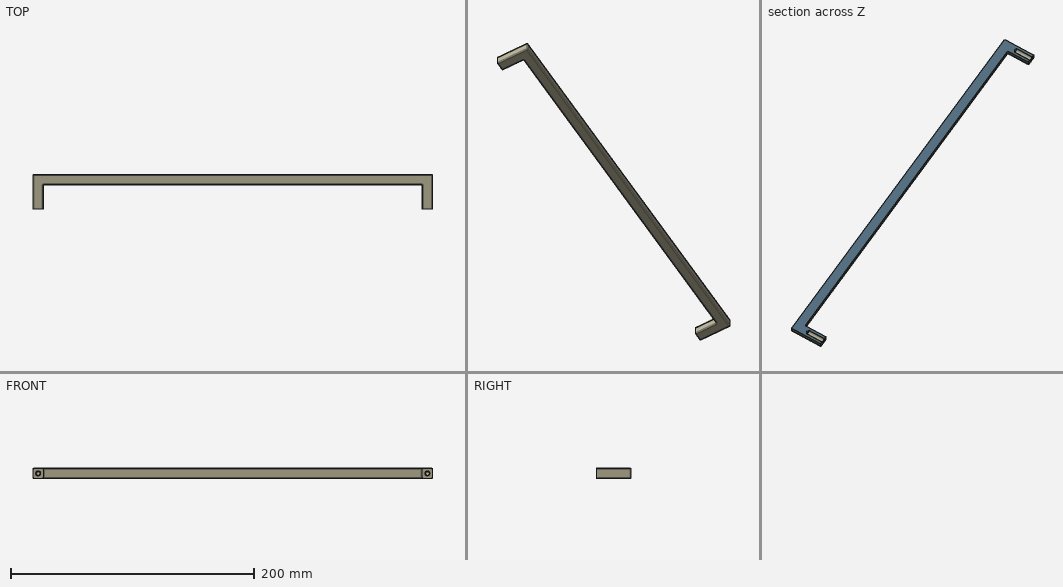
import math

import cadquery as cq

bar_width = 8.5
hole_spacing = 320.0
projection = 28.5
rounding = 1.0
hole_diameter = 3.3
mouth_diameter = 4.0
hole_depth = 15.0
drill_point_angle = 118.0

length = hole_spacing + bar_width
hole_radius = hole_diameter / 2
mouth_radius = mouth_diameter / 2
mouth_depth = mouth_radius - hole_radius
drill_point_depth = hole_radius / math.tan(math.radians(drill_point_angle / 2))


def handle_body():
    """U-shaped square bar, feet on the XZ plane, with rounded bends and long edges."""
    blank = cq.Workplane("XY").box(
        length, projection, bar_width, centered=(True, False, True)
    )
    gap = cq.Workplane("XY").box(
        length - 2 * bar_width, projection - bar_width, bar_width, centered=(True, False, True)
    )
    body = blank.cut(gap)
    body = body.edges("|Z and >Y").fillet(rounding)
    body = body.faces("<Y[1]").edges("|Z").fillet(rounding)
    return body.faces("|Z").edges("not <Y").fillet(rounding)


def screw_hole(x_position):
    """Blind hole with a chamfered mouth and a conical drill point, running up a leg axis from its foot."""
    half_profile = (
        cq.Workplane("XY")
        .moveTo(0, 0)
        .lineTo(mouth_radius, 0)
        .lineTo(hole_radius, mouth_depth)
        .lineTo(hole_radius, hole_depth)
        .lineTo(0, hole_depth + drill_point_depth)
        .close()
    )
    hole = half_profile.revolve(360, (0, 0, 0), (0, 1, 0))
    return hole.translate((x_position, 0, 0))


result = handle_body()
for side in (-1, 1):
    result = result.cut(screw_hole(side * hole_spacing / 2))